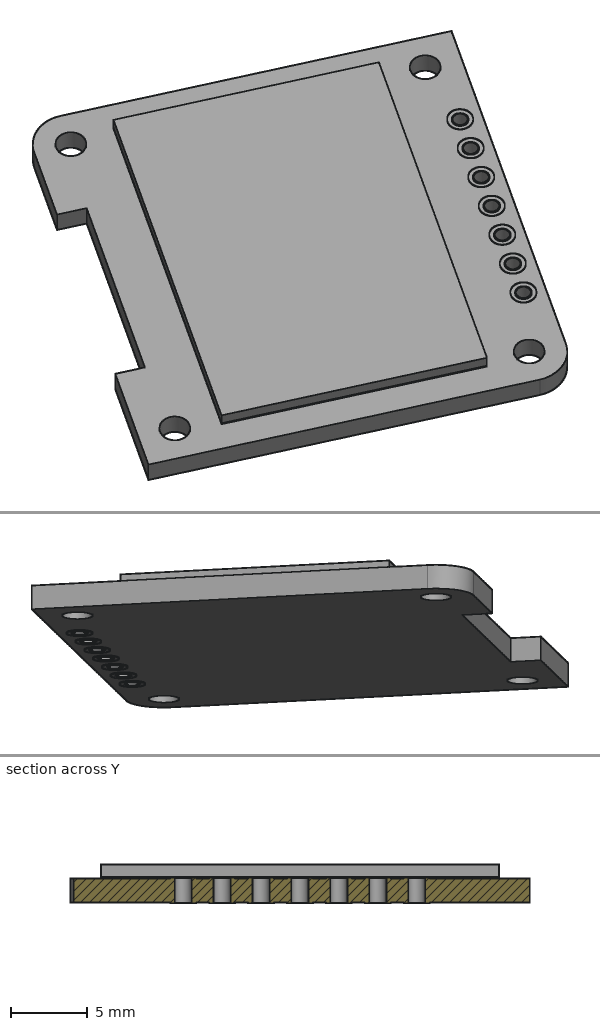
import cadquery as cq

BOARD_LENGTH = 30.0
BOARD_WIDTH = 29.0
BOARD_THICKNESS = 1.6
CORNER_RADIUS = 2.5

MOUNT_HOLE_DIAMETER = 2.0
MOUNT_HOLE_INSET = CORNER_RADIUS
MOUNT_HOLE_SPACING_X = BOARD_LENGTH - 2 * MOUNT_HOLE_INSET
MOUNT_HOLE_SPACING_Y = BOARD_WIDTH - 2 * MOUNT_HOLE_INSET

NOTCH_LENGTH = 14.0
NOTCH_DEPTH = 2.0

PAD_COUNT = 7
PAD_ROW_SPAN = 15.25
PAD_PITCH = PAD_ROW_SPAN / (PAD_COUNT - 1)
PAD_ROW_INSET = 1.5
PAD_DIAMETER = 1.7
PAD_OPENING_DIAMETER = 1.0
BOARD_HOLE_DIAMETER = 1.1
PAD_HEIGHT = 0.05

DISPLAY_LENGTH = 26.0
DISPLAY_WIDTH = 18.0
DISPLAY_BACK_INSET = 5.5
FILM_THICKNESS = 0.1
OVERALL_HEIGHT = 2.55

BACK_EDGE_Y = BOARD_WIDTH / 2
FRONT_EDGE_Y = -BOARD_WIDTH / 2
DISPLAY_CENTER_Y = BACK_EDGE_Y - DISPLAY_BACK_INSET - DISPLAY_WIDTH / 2
DISPLAY_THICKNESS = OVERALL_HEIGHT - PAD_HEIGHT - BOARD_THICKNESS - FILM_THICKNESS

PAD_CENTERS = [
    (-PAD_ROW_SPAN / 2 + i * PAD_PITCH, BACK_EDGE_Y - PAD_ROW_INSET)
    for i in range(PAD_COUNT)
]


def make_plate():
    """Board blank with two diagonally opposite corners rounded and a front notch."""
    plate = (
        cq.Workplane("XY")
        .rect(BOARD_LENGTH, BOARD_WIDTH)
        .extrude(BOARD_THICKNESS)
        .edges("|Z and (<(1, 1, 0) or >(1, 1, 0))")
        .fillet(CORNER_RADIUS)
    )
    notch = (
        cq.Workplane("XY")
        .center(0, FRONT_EDGE_Y)
        .rect(NOTCH_LENGTH, 2 * NOTCH_DEPTH)
        .extrude(BOARD_THICKNESS)
    )
    return plate.cut(notch)


def make_pad_rings(base_z):
    """One row of raised pad rings standing on the height base_z."""
    return (
        cq.Workplane("XY", origin=(0, 0, base_z))
        .pushPoints(PAD_CENTERS)
        .circle(PAD_DIAMETER / 2)
        .circle(PAD_OPENING_DIAMETER / 2)
        .extrude(PAD_HEIGHT)
    )


def make_board():
    """Drilled board with a pad ring around each small hole on both faces."""
    mount_holes = (
        cq.Workplane("XY")
        .rect(MOUNT_HOLE_SPACING_X, MOUNT_HOLE_SPACING_Y, forConstruction=True)
        .vertices()
        .circle(MOUNT_HOLE_DIAMETER / 2)
        .extrude(BOARD_THICKNESS)
    )
    pad_holes = (
        cq.Workplane("XY")
        .pushPoints(PAD_CENTERS)
        .circle(BOARD_HOLE_DIAMETER / 2)
        .extrude(BOARD_THICKNESS)
    )
    board = make_plate().cut(mount_holes).cut(pad_holes)
    return board.union(make_pad_rings(-PAD_HEIGHT)).union(make_pad_rings(BOARD_THICKNESS))


def make_display_layer(base_z, thickness):
    """Flat layer with the outline of the display."""
    return (
        cq.Workplane("XY", origin=(0, DISPLAY_CENTER_Y, base_z))
        .rect(DISPLAY_LENGTH, DISPLAY_WIDTH)
        .extrude(thickness)
    )


board = make_board()
adhesive_film = make_display_layer(BOARD_THICKNESS, FILM_THICKNESS)
display = make_display_layer(BOARD_THICKNESS + FILM_THICKNESS, DISPLAY_THICKNESS)

result = cq.Compound.makeCompound([board.val(), adhesive_film.val(), display.val()])